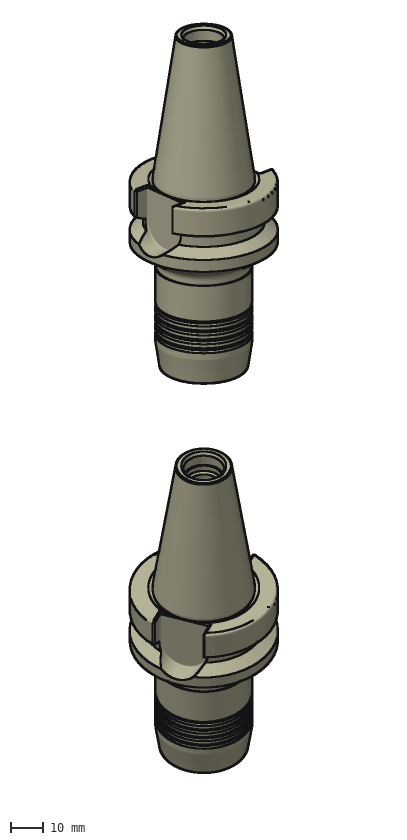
import cadquery as cq
import math

total_height = 112.4

nose_radius = 15.1
nose_tip_radius = 13.8
nose_tip_chamfer = 0.3
nose_taper_height = 8.7
nose_top = 34.0
neck_radius = 14.8
neck_fillet_bottom = 35.5
neck_fillet_top = 37.7
neck_fillet_top_radius = 16.0

groove_count = 4
groove_pitch = 3.0
groove_width = 1.7
groove_depth = 0.3
first_groove_center = 11.9

collar_diameter = 46.0
collar_radius = collar_diameter / 2
collar_bottom = 42.3
lower_flange_top = 46.3
upper_flange_bottom = 54.4
collar_top = 63.4
collar_edge_fillet = 1.0
gripper_groove_radius = 18.9
gripper_groove_bottom = 48.9
gripper_groove_top = 52.4

recess_radius = 17.2
recess_depth = 0.6

gauge_height = 64.0
gauge_radius = 15.8
taper_tip_radius = 8.8
taper_tip_chamfer = 0.3

slot_floor_distance = 16.2
slot_half_width = 8.1
slot_arc_center = gripper_groove_top
slot_floor_fillet = 0.5
slot_edge_chamfer = 0.6
slot_edge_chamfer_angle = 45.0

bore_mouth_radius = 7.0
bore_chamfer_depth = 1.1
counterbore_radius = 6.3
counterbore_depth = 4.8
pilot_radius = 6.0
pilot_depth = 7.0
thread_radius = 5.0
thread_bottom_depth = 30.3
through_radius = 2.5
bore_cone_angle = 30.0
bore_cone_slope = math.tan(math.radians(bore_cone_angle))

screw_radius = 5.1
screw_offset = 6.5
screw_tilt = 45.0
screw_end_x = -12.0
screw_end_z = 42.0
screw_length = 28.1
screw_tip_half_angle = 59.0


def revolve_profile(points):
    """Revolve a closed (radius, height) outline about the Z axis."""
    return cq.Workplane("XZ").polyline(points).close().revolve(360, (0, 0), (0, 1))


def make_nose():
    profile = (
        cq.Workplane("XZ")
        .moveTo(0, 0)
        .lineTo(nose_tip_radius - nose_tip_chamfer, 0)
        .lineTo(nose_tip_radius, nose_tip_chamfer)
        .lineTo(nose_radius, nose_taper_height)
    )
    for index in range(groove_count):
        center = first_groove_center + index * groove_pitch
        profile = (
            profile.lineTo(nose_radius, center - groove_width / 2)
            .lineTo(nose_radius - groove_depth, center)
            .lineTo(nose_radius, center + groove_width / 2)
        )
    profile = (
        profile.lineTo(nose_radius, nose_top)
        .lineTo(neck_radius, nose_top)
        .lineTo(neck_radius, neck_fillet_bottom)
        .tangentArcPoint((neck_fillet_top_radius, neck_fillet_top), relative=False)
        .lineTo(collar_radius, collar_bottom)
        .lineTo(0, collar_bottom)
        .close()
    )
    return profile.revolve(360, (0, 0), (0, 1))


def make_collar():
    return revolve_profile(
        [
            (0, collar_bottom),
            (collar_radius, collar_bottom),
            (collar_radius, lower_flange_top),
            (gripper_groove_radius, gripper_groove_bottom),
            (gripper_groove_radius, gripper_groove_top),
            (collar_radius, upper_flange_bottom),
            (collar_radius, collar_top),
            (0, collar_top),
        ]
    )


def make_slot_cutter():
    """Round-ended drive slot on the -Y side, open toward the top and outside."""
    slot_height = total_height - slot_arc_center
    cutter_length = 2 * (collar_radius - slot_floor_distance)
    cutter = (
        cq.Workplane("XZ", origin=(0, -slot_floor_distance, slot_arc_center))
        .moveTo(-slot_half_width, slot_height)
        .lineTo(-slot_half_width, 0)
        .threePointArc((0, -slot_half_width), (slot_half_width, 0))
        .lineTo(slot_half_width, slot_height)
        .close()
        .extrude(cutter_length)
    )
    return cutter.faces(">Y").edges().fillet(slot_floor_fillet)


def make_slot_bevels():
    """Edge bevels of the -Y slot: along its top rim and along its two mouth edges."""
    wide = slot_half_width + slot_edge_chamfer
    rim_inner_y = -slot_floor_distance + slot_edge_chamfer
    rim_outer_y = -collar_radius - slot_edge_chamfer
    rim = (
        cq.Workplane("XY", origin=(0, (rim_inner_y + rim_outer_y) / 2, collar_top))
        .rect(2 * wide, rim_inner_y - rim_outer_y)
        .extrude(-slot_edge_chamfer, taper=slot_edge_chamfer_angle)
    )
    mouth_y = -math.sqrt(collar_radius**2 - wide**2)
    mouth = (
        cq.Workplane("XY", origin=(0, 0, gripper_groove_top))
        .moveTo(-wide, -collar_radius)
        .lineTo(-wide, mouth_y)
        .lineTo(-slot_half_width, mouth_y + slot_edge_chamfer)
        .lineTo(slot_half_width, mouth_y + slot_edge_chamfer)
        .lineTo(wide, mouth_y)
        .lineTo(wide, -collar_radius)
        .close()
        .extrude(collar_top - gripper_groove_top)
    )
    return rim.union(mouth)


def make_slotted_collar():
    collar = make_collar().faces(">Z").edges().fillet(collar_edge_fillet)
    for cutter in (make_slot_cutter(), make_slot_bevels()):
        opposite = cutter.rotate((0, 0, 0), (0, 0, 1), 180)
        collar = collar.cut(cutter).cut(opposite)
    return collar


def make_recess():
    return revolve_profile(
        [
            (0, collar_top),
            (recess_radius, collar_top),
            (gauge_radius, collar_top - recess_depth),
            (0, collar_top - recess_depth),
        ]
    )


def make_taper():
    return revolve_profile(
        [
            (0, collar_bottom),
            (gauge_radius, collar_bottom),
            (gauge_radius, gauge_height),
            (taper_tip_radius, total_height - taper_tip_chamfer),
            (taper_tip_radius - taper_tip_chamfer, total_height),
            (0, total_height),
        ]
    )


def make_bore():
    pilot_floor = total_height - pilot_depth
    thread_floor = total_height - thread_bottom_depth
    return revolve_profile(
        [
            (0, 0),
            (through_radius, 0),
            (through_radius, thread_floor - (thread_radius - through_radius) * bore_cone_slope),
            (thread_radius, thread_floor),
            (thread_radius, pilot_floor - (pilot_radius - thread_radius) * bore_cone_slope),
            (pilot_radius, pilot_floor),
            (pilot_radius, total_height - counterbore_depth),
            (counterbore_radius, total_height - counterbore_depth),
            (counterbore_radius, total_height - bore_chamfer_depth),
            (bore_mouth_radius, total_height),
            (0, total_height),
        ]
    )


def make_screw_hole():
    """Drilled hole with a conical end, rising inward from below the flange."""
    tilt = math.radians(screw_tilt)
    tip_length = screw_radius / math.tan(math.radians(screw_tip_half_angle))
    hole_plane = cq.Plane(
        origin=(screw_end_x, -screw_offset, screw_end_z),
        xDir=(0, 1, 0),
        normal=(-math.sin(tilt), 0, math.cos(tilt)),
    )
    return (
        cq.Workplane(hole_plane)
        .polyline([(0, -tip_length), (screw_radius, 0), (screw_radius, screw_length), (0, screw_length)])
        .close()
        .revolve(360, (0, 0), (0, 1))
    )


nose = make_nose()
body = make_slotted_collar().cut(make_recess()).union(make_taper()).union(nose)
result = body.cut(make_bore()).cut(make_screw_hole())